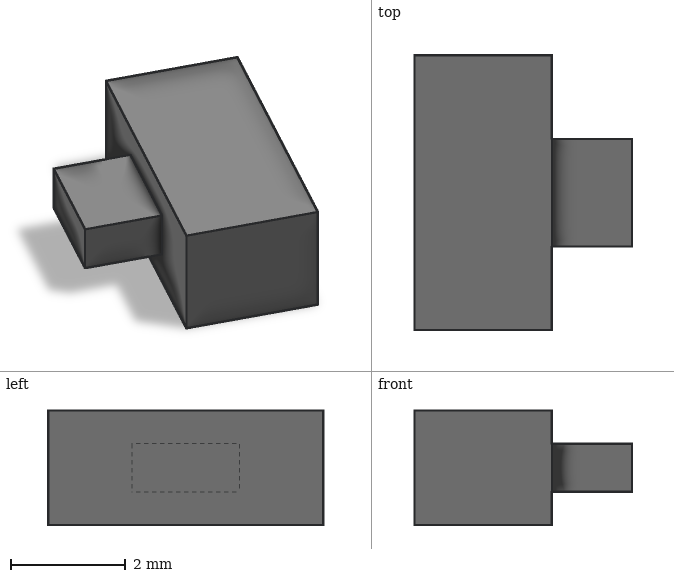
import cadquery as cq

body_depth = 2.4
body_width = 4.8
body_height = 2.0

overall_depth = 3.8
tab_length = overall_depth - body_depth
tab_width = 1.88
tab_height = 0.84

body = cq.Workplane("XY").box(body_depth, body_width, body_height)

tab = (
    cq.Workplane("YZ")
    .workplane(offset=body_depth / 2)
    .rect(tab_width, tab_height)
    .extrude(tab_length)
)

result = body.union(tab)